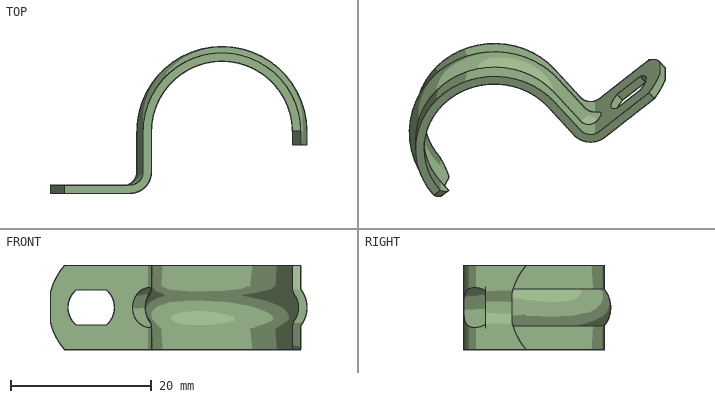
import cadquery as cq
import math

length = 36.5
width = 12.0
thickness = 1.2
bend_outer_radius = 3.1

ring_inner_radius = 10.0
ring_outer_radius = ring_inner_radius + thickness
bead_height = 0.9
ring_x = length - ring_outer_radius - bead_height
ring_y = 8.8
free_end_y = 6.9

groove_crown_radius = 3.0
bead_crown_radius = groove_crown_radius + thickness
groove_half_width = 2.92
bead_overlap = 0.3
bead_runout_radius = 2.0
bead_runout_angle = 72.0
groove_runout_crown_radius = 3.58
groove_runout_slope = 0.58

end_radius = 9.05
end_flat_half_width = 2.2
hole_x = 5.8
hole_radius = 3.3
hole_height = 4.95

leg_outer_x = ring_x - ring_outer_radius
leg_inner_x = ring_x - ring_inner_radius
bend_x = leg_inner_x - bend_outer_radius
bend_inner_radius = bend_outer_radius - thickness


def make_strip():
    """Bent strip: mounting tab, bend, leg, half ring and short straight end."""
    diagonal = math.sqrt(0.5)
    return (
        cq.Workplane("XY").workplane(offset=-width / 2)
        .lineTo(bend_x, 0)
        .threePointArc(
            (bend_x + bend_outer_radius * diagonal, bend_outer_radius * (1 - diagonal)),
            (leg_inner_x, bend_outer_radius))
        .lineTo(leg_inner_x, ring_y)
        .threePointArc((ring_x, ring_y + ring_inner_radius), (ring_x + ring_inner_radius, ring_y))
        .lineTo(ring_x + ring_inner_radius, free_end_y)
        .lineTo(ring_x + ring_outer_radius, free_end_y)
        .lineTo(ring_x + ring_outer_radius, ring_y)
        .threePointArc((ring_x, ring_y + ring_outer_radius), (leg_outer_x, ring_y))
        .lineTo(leg_outer_x, bend_outer_radius)
        .threePointArc(
            (bend_x + bend_inner_radius * diagonal, bend_outer_radius - bend_inner_radius * diagonal),
            (bend_x, thickness))
        .lineTo(0, thickness)
        .close()
        .extrude(width)
    )


def bead_profile(plane, side):
    """Raised bead section; side is -1 on the leg and +1 at the free end."""
    base = ring_x + side * (ring_outer_radius - bead_overlap)
    crest = ring_x + side * (ring_outer_radius + bead_height)
    crown_center = crest - side * bead_crown_radius
    half_width = math.sqrt(bead_crown_radius**2 - (base - crown_center)**2)
    return plane.moveTo(base, -half_width).threePointArc((crest, 0), (base, half_width)).close()


def groove_profile(plane, side):
    """Groove section: a crown blended into the ring wall by reversed arcs."""
    wall = ring_x + side * ring_inner_radius
    crest = wall + side * bead_height
    angle = 2 * math.atan(bead_height / groove_half_width)
    blend_radius = groove_half_width / math.sin(angle) - groove_crown_radius
    join_x = crest - side * groove_crown_radius * (1 - math.cos(angle))
    join_z = groove_crown_radius * math.sin(angle)
    blend_x = wall + side * blend_radius * (1 - math.cos(angle / 2))
    blend_z = groove_half_width - blend_radius * math.sin(angle / 2)
    inside = wall - side * thickness
    return (
        plane.moveTo(inside, -groove_half_width)
        .lineTo(wall, -groove_half_width)
        .threePointArc((blend_x, -blend_z), (join_x, -join_z))
        .threePointArc((crest, 0), (join_x, join_z))
        .threePointArc((blend_x, blend_z), (wall, groove_half_width))
        .lineTo(inside, groove_half_width)
        .close()
    )


def follow_strip(profile):
    """Carry a section along the free end, the half ring and the leg."""
    ring_plane = cq.Workplane("XZ", origin=(0, ring_y, 0))
    free_end = profile(ring_plane, 1).extrude(ring_y - free_end_y)
    ring = profile(ring_plane, 1).revolve(180, (ring_x, 0), (ring_x, 1))
    leg = profile(ring_plane, -1).extrude(ring_y - bend_outer_radius)
    return [free_end, ring, leg]


def make_bead_runout():
    """Bead curving away from the leg until its crest sinks into the tab."""
    bend_plane = cq.Workplane("XZ", origin=(0, bend_outer_radius, 0))
    axis_x = leg_outer_x - bead_height - bead_runout_radius
    return bead_profile(bend_plane, -1).revolve(bead_runout_angle, (axis_x, 0.35), (axis_x, 0))


def make_groove_runout():
    """Slanted, wider-crowned groove that opens through the outside of the bend."""
    crest = leg_inner_x - bead_height
    depth = bead_height + thickness
    half_width = math.sqrt(groove_runout_crown_radius**2 - (groove_runout_crown_radius - depth)**2)
    section = (
        cq.Workplane("XZ", origin=(0, bend_outer_radius, 0))
        .moveTo(crest + depth, -half_width)
        .threePointArc((crest, 0), (crest + depth, half_width))
        .close().wires().val()
    )
    slant = cq.Vector(-groove_runout_slope * bend_outer_radius, -bend_outer_radius, 0)
    return cq.Workplane(cq.Solid.extrudeLinear(section, [], slant))


def end_trim(plane, span):
    """Two corner cutters that round a strip end whose nose is at local x = 0."""
    flat_center = math.sqrt(end_radius**2 - end_flat_half_width**2)

    def setback(z):
        return flat_center - math.sqrt(end_radius**2 - z**2)

    half_width = width / 2
    middle_z = (end_flat_half_width + half_width) / 2
    upper_corner = (
        plane.moveTo(0, end_flat_half_width)
        .threePointArc((setback(middle_z), middle_z), (setback(half_width), half_width))
        .lineTo(0, half_width)
        .close()
        .extrude(span)
    )
    return upper_corner.union(upper_corner.mirror("XY"))


def make_hole():
    """Round mounting hole with flat top and bottom."""
    disc = (
        cq.Workplane("XZ").center(hole_x, 0)
        .circle(hole_radius).extrude(-thickness)
    )
    return disc.intersect(cq.Workplane("XY").box(length, length, hole_height))


strip = make_strip()

for bead in follow_strip(bead_profile) + [make_bead_runout()]:
    strip = strip.union(bead)
for groove in follow_strip(groove_profile) + [make_groove_runout()]:
    strip = strip.cut(groove)

tab_plane = cq.Workplane("XZ")
free_end_plane = cq.Workplane(cq.Plane((ring_x, free_end_y, 0), xDir=(0, 1, 0), normal=(1, 0, 0)))
strip = strip.cut(end_trim(tab_plane, -thickness))
strip = strip.cut(end_trim(free_end_plane, length - ring_x))

result = strip.cut(make_hole())